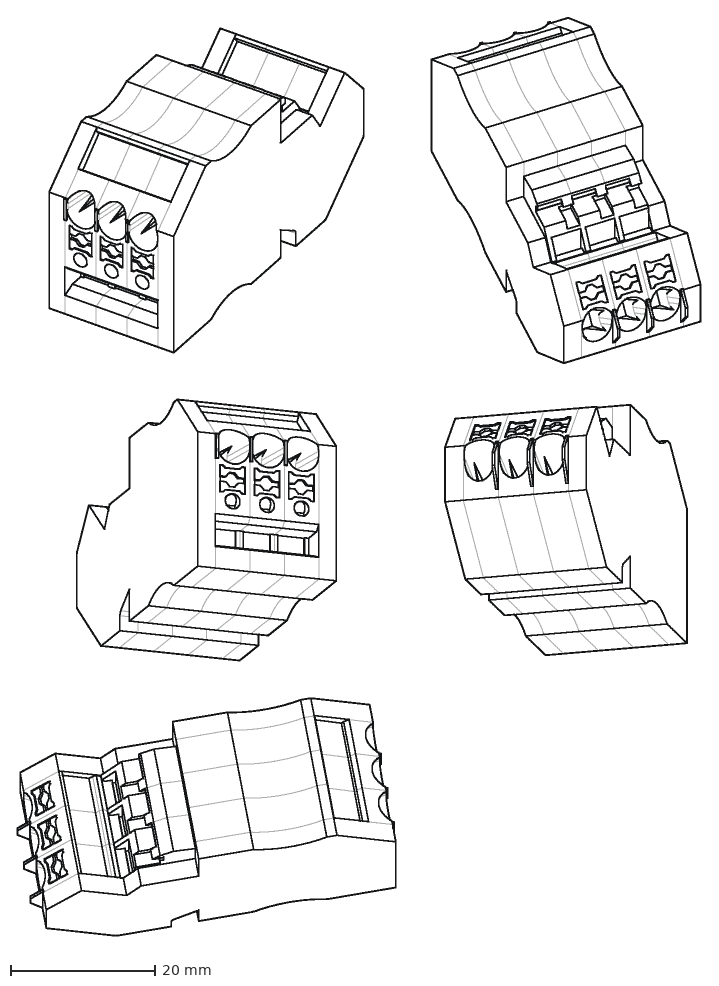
import cadquery as cq
import math


module_count = 3
module_width = 5.1
plate_thickness = 2.6
stack_width = module_count * module_width
stack_left = -stack_width / 2

top_z = 26.9
body_bottom_z = 0.3
block_rear_y = 27.8
chamfer_top_y = 8.3
front_edge_z = 19.8
grip_start_y = 9.75
grip_end_y = 20.05
grip_middle_y = (grip_start_y + grip_end_y) / 2
grip_depth = 1.5
deck_z = 19.55
deck_rear_y = 35.9
notch_y = 37.95
notch_z = 16.5
peak_y = 44.3
peak_z = 21.85
rear_y = 49.3
rear_edge_z = 16.25
rear_low_z = 8.35
foot_rear_y = 39.4
foot_front_y = 31.65
foot_arc_z = 2.2
foot_arc_middle = (31.55, 2.55)
slot_shoulder_y = 31.3
slot_shoulder_z = 2.8
slot_roof_z = 4.9

chamfer_slope = (top_z - front_edge_z) / chamfer_top_y
rear_fall_angle = math.atan2(peak_z - rear_edge_z, rear_y - peak_y)

latch_root_z = 23.8
latch_peak = (30.9, 24.2)
latch_shoulder = (32.8, 23.35)
latch_tip = (33.85, 22.25)
latch_slot_y = 32.25
tongue_z = 21.25
tongue_rear_y = 35.45
ramp_foot = (38.35, 16.95)
hook_width = 1.55
short_hook_y = 33.05
hook_cut_size = 2.05
hook_cut_overlap = 0.5
tongue_left = 1.85
step_z = 20.2
step_front_y = 32.8
step_clearance = 0.25

ramp_recess_width = 4.35
dish_rear = (38.5, 17.05)
dish_middle = (37.75, 16.2)
dish_front = (36.95, 16.2)
slit_front_y = 36.4
slit_floor_z = 14.9

seat_lip_y = 3.4
seat_lip_z = front_edge_z + chamfer_slope * seat_lip_y
front_seat = [(seat_lip_y, seat_lip_z), (4.15, 22.15), (4.45, 21.65), (8.8, 25.6), (8.2, 26.2)]
rear_seat = [(39.05, 17.45), (39.55, 16.9), (40.05, 16.5), (44.65, 20.4), (43.85, 21.45)]
seat_groove_z = 16.3

mouth_center_x = 2.695
mouth_radius = 2.35
mouth_spread = 0.8
mouth_depth = 10.25
mouth_end_radius = 1.05
mouth_taper = math.degrees(math.atan2(mouth_radius - mouth_end_radius, mouth_depth))
socket_size = 3.1
socket_center_x = 2.6
socket_drop = 0.2
socket_depth = 10.5

mark_center_x = 2.54
mark_drop = 5.05
mark_half_width = 1.85
mark_half_height = 1.95
mark_notch = 0.35
notch_half_top = 1.45
notch_half_base = 1.05
mark_depth = 0.2
cross_depth = 0.6
cross_half_height = 0.385
bore_half_width = 0.9
bore_half_flat = 0.35
bore_half_height = 1.05

test_hole_z = 10.25
test_hole_radius = 1.1
test_hole_depth = 2.05
test_roof_rise = 0.15

window_top_z = 8.2
window_inner_z = 7.4
window_lip_depth = 0.85
window_back_y = 4.1
sill_z = 4.2
sill_y = 1.95
sill_edge_z = 3.45
niche_left = 0.485
niche_width = 4.0
niche_depth = 0.25

fin_width = 0.35
front_fin_reach = 0.25
front_fin_low_z = 16.25
rear_fin_y = 51.05
rear_fin_rise = 0.2
rear_fin_top_z = 14.35
rear_fin_low_z = 12.5
rear_fin_root_z = 9.55

front_mouth_z = 18.45
rear_mouth_overhang = 1.65
rear_mouth_y = rear_y + rear_mouth_overhang * math.cos(rear_fall_angle)
rear_mouth_z = rear_edge_z - rear_mouth_overhang * math.sin(rear_fall_angle)


def side_sketch(x, y, z):
    """Start an outline in the YZ plane at the given X."""
    return cq.Workplane("YZ", origin=(x, 0, 0)).moveTo(y, z)


def side_prism(x, width, points):
    """Extrude a closed YZ polygon towards +X."""
    return cq.Workplane("YZ", origin=(x, 0, 0)).polyline(points).close().extrude(width)


def lower_outline(sketch):
    """Continue an outline from the rear peak, down the back and along the underside to the front."""
    return (
        sketch.lineTo(peak_y, peak_z)
        .lineTo(rear_y, rear_edge_z)
        .lineTo(rear_y, rear_low_z)
        .lineTo(foot_rear_y, 0)
        .lineTo(foot_front_y, 0)
        .lineTo(foot_front_y, foot_arc_z)
        .threePointArc(foot_arc_middle, (slot_shoulder_y, slot_shoulder_z))
        .lineTo(block_rear_y, slot_roof_z)
        .lineTo(block_rear_y, body_bottom_z)
        .lineTo(grip_end_y, body_bottom_z)
        .threePointArc((grip_middle_y, body_bottom_z + grip_depth), (grip_start_y, body_bottom_z))
        .lineTo(0, body_bottom_z)
    )


def top_outline(sketch):
    """Continue an outline from the front chamfer along the top to the rear of the main block."""
    return (
        sketch.lineTo(chamfer_top_y, top_z)
        .lineTo(grip_start_y, top_z)
        .threePointArc((grip_middle_y, top_z - grip_depth), (grip_end_y, top_z))
        .lineTo(block_rear_y, top_z)
    )


def end_plate(x):
    outline = top_outline(side_sketch(x, 0, body_bottom_z).lineTo(0, front_edge_z))
    outline = (
        outline.lineTo(block_rear_y, deck_z)
        .lineTo(deck_rear_y, deck_z)
        .lineTo(notch_y, notch_z)
    )
    return lower_outline(outline).close().extrude(plate_thickness)


def module_blank(x):
    """Module with its window, both label seats and the full-width latch."""
    outline = (
        side_sketch(x, 0, body_bottom_z)
        .lineTo(0, sill_edge_z)
        .lineTo(sill_y, sill_z)
        .lineTo(window_back_y, sill_z)
        .lineTo(window_back_y, window_inner_z)
        .lineTo(window_lip_depth, window_inner_z)
        .lineTo(0, window_top_z)
        .lineTo(0, front_edge_z)
    )
    for corner in front_seat:
        outline = outline.lineTo(*corner)
    outline = (
        top_outline(outline)
        .lineTo(block_rear_y, latch_root_z)
        .lineTo(*latch_peak)
        .lineTo(*latch_shoulder)
        .lineTo(*latch_tip)
        .lineTo(latch_slot_y, latch_tip[1])
        .lineTo(latch_slot_y, tongue_z)
        .lineTo(tongue_rear_y, tongue_z)
        .lineTo(*ramp_foot)
        .lineTo(ramp_foot[0], seat_groove_z)
    )
    for corner in rear_seat:
        outline = outline.lineTo(*corner)
    return lower_outline(outline).close().extrude(module_width)


def latch_cuts(x):
    """Short half of the hook, low step beside the tongue, and recess in the ramp."""
    hook_end = (
        cq.Workplane("XY")
        .box(module_width - hook_width, hook_cut_size, hook_cut_size, centered=False)
        .translate((x + hook_width, short_hook_y, latch_tip[1] - hook_cut_overlap))
    )
    ramp_run = (ramp_foot[0] - tongue_rear_y) / (tongue_z - ramp_foot[1])
    step_rear_y = tongue_rear_y + ramp_run * (tongue_z - step_z)
    step = side_prism(x, tongue_left, [
        (step_front_y, step_z),
        (step_rear_y, step_z),
        (step_rear_y, tongue_z + step_clearance),
        (step_front_y, tongue_z + step_clearance),
    ])
    ramp_recess = (
        side_sketch(x, *dish_rear)
        .threePointArc(dish_middle, dish_front)
        .lineTo(dish_front[0], slit_floor_z)
        .lineTo(slit_front_y, slit_floor_z)
        .lineTo(slit_front_y, step_z)
        .close()
        .extrude(ramp_recess_width)
    )
    return [hook_end, step, ramp_recess]


def connector_cuts(frame):
    """Funnel narrowing from a slot-shaped mouth into a square socket, and the marking recess below it."""
    funnel = (
        cq.Workplane(frame)
        .center(mouth_center_x, 0)
        .slot2D(2 * mouth_radius + mouth_spread, 2 * mouth_radius, 90)
        .extrude(-mouth_depth, taper=mouth_taper)
    )
    socket = (
        cq.Workplane(frame)
        .center(socket_center_x, -socket_drop)
        .rect(socket_size, socket_size)
        .extrude(-socket_depth)
    )
    notch_v = mark_half_height - mark_notch
    mark_plane = cq.Workplane(frame).center(mark_center_x, -mark_drop)
    upper_edge = [
        (-mark_half_width, mark_half_height),
        (-notch_half_top, mark_half_height),
        (-notch_half_base, notch_v),
        (notch_half_base, notch_v),
        (notch_half_top, mark_half_height),
        (mark_half_width, mark_half_height),
    ]
    lower_edge = [(-u, -v) for u, v in upper_edge]
    recess = mark_plane.polyline(upper_edge + lower_edge).close().extrude(-mark_depth)
    slot = mark_plane.rect(2 * mark_half_width, 2 * cross_half_height).extrude(-cross_depth)
    bore_edge = [
        (-bore_half_width, cross_half_height),
        (-bore_half_flat, bore_half_height),
        (bore_half_flat, bore_half_height),
        (bore_half_width, cross_half_height),
    ]
    bore = mark_plane.polyline(bore_edge + [(-u, -v) for u, v in bore_edge]).close().extrude(-cross_depth)
    return [funnel, socket, recess, slot, bore]


def test_hole(x):
    """Blind round hole whose roof slopes down to the middle of its floor."""
    radius = test_hole_radius
    drill = (
        cq.Workplane("XZ", origin=(x + mark_center_x, 0, test_hole_z))
        .circle(radius)
        .extrude(-test_hole_depth)
    )
    below_roof = side_prism(x, module_width, [
        (0, test_hole_z - 2 * radius),
        (0, test_hole_z + radius + test_roof_rise),
        (test_hole_depth, test_hole_z),
        (test_hole_depth, test_hole_z - 2 * radius),
    ])
    return drill.intersect(below_roof)


def window_niche(x):
    return (
        cq.Workplane("XY")
        .box(niche_width, niche_depth, window_inner_z - sill_z, centered=False)
        .translate((x + niche_left, window_back_y, sill_z))
    )


def fins(x):
    front = side_prism(x, fin_width, [
        (-front_fin_reach, front_fin_low_z),
        (-front_fin_reach, front_edge_z),
        (fin_width, front_edge_z),
        (fin_width, front_fin_low_z),
    ])
    rear = side_prism(x, fin_width, [
        (rear_y - fin_width, rear_edge_z),
        (rear_y, rear_edge_z + rear_fin_rise),
        (rear_fin_y, rear_fin_top_z),
        (rear_fin_y, rear_fin_low_z),
        (rear_y, rear_fin_root_z),
        (rear_y - fin_width, rear_fin_root_z),
    ])
    return front.union(rear)


def terminal_module(x):
    front_frame = cq.Plane(origin=(x, 0, front_mouth_z), xDir=(1, 0, 0), normal=(0, -1, 0))
    rear_frame = cq.Plane(
        origin=(x, rear_mouth_y, rear_mouth_z),
        xDir=(1, 0, 0),
        normal=(0, math.sin(rear_fall_angle), math.cos(rear_fall_angle)),
    )
    module = module_blank(x)
    cuts = latch_cuts(x) + connector_cuts(front_frame) + connector_cuts(rear_frame)
    for tool in cuts + [test_hole(x), window_niche(x)]:
        module = module.cut(tool)
    return module.union(fins(x))


result = end_plate(stack_left - plate_thickness)
for index in range(module_count):
    result = result.union(terminal_module(stack_left + index * module_width), clean=False)
result = result.union(end_plate(-stack_left), clean=False)